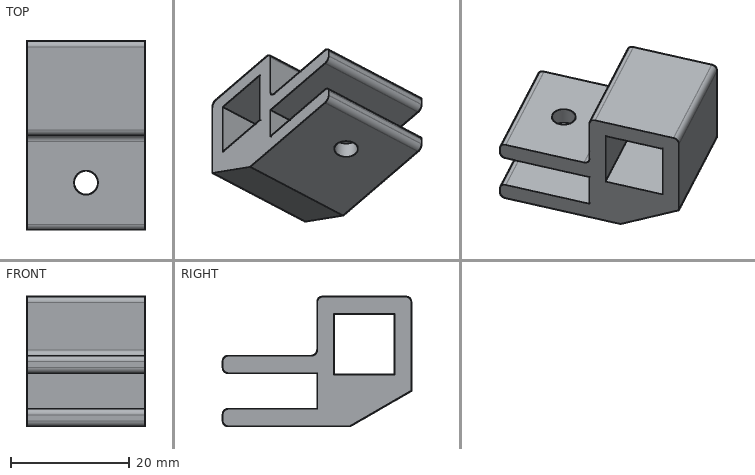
import cadquery as cq
import math

width = 20.0
length = 32.0
height = 22.0

arm_thickness = 3.0
arm_gap = 6.0
arm_length = length / 2
arm_top = 2 * arm_thickness + arm_gap
pin_diameter = 4.0
pin_y = arm_length / 2

socket_side = 10.2
socket_y = (arm_length + length) / 2
socket_z = height - arm_thickness - socket_side / 2

edge_radius = 1.0
bevel_height = 6.0
bevel_angle = 30.0
bevel_length = bevel_height / math.tan(math.radians(bevel_angle))


def round_edges(body, y, z):
    """Round the edge running along X at the given (y, z) position."""
    reach = edge_radius / 4
    selector = cq.selectors.BoxSelector(
        (-width, y - reach, z - reach),
        (width, y + reach, z + reach),
    )
    return body.edges(selector).fillet(edge_radius)


def make_profile_body():
    """Extrude the side outline symmetrically about the YZ plane."""
    outline = [
        (0, 0),
        (length - bevel_length, 0),
        (length, bevel_height),
        (length, height),
        (arm_length, height),
        (arm_length, arm_top),
        (0, arm_top),
        (0, arm_thickness + arm_gap),
        (arm_length, arm_thickness + arm_gap),
        (arm_length, arm_thickness),
        (0, arm_thickness),
    ]
    return cq.Workplane("YZ").polyline(outline).close().extrude(width / 2, both=True)


body = make_profile_body()

rounded_corners = [
    (0, 0),
    (0, arm_thickness),
    (0, arm_thickness + arm_gap),
    (0, arm_top),
    (arm_length, arm_top),
    (arm_length, height),
    (length, height),
]
for corner_y, corner_z in rounded_corners:
    body = round_edges(body, corner_y, corner_z)

socket = cq.Workplane("XY").box(width, socket_side, socket_side).translate((0, socket_y, socket_z))

pin_hole = cq.Workplane("XY").center(0, pin_y).circle(pin_diameter / 2).extrude(arm_top)

result = body.cut(socket).cut(pin_hole)